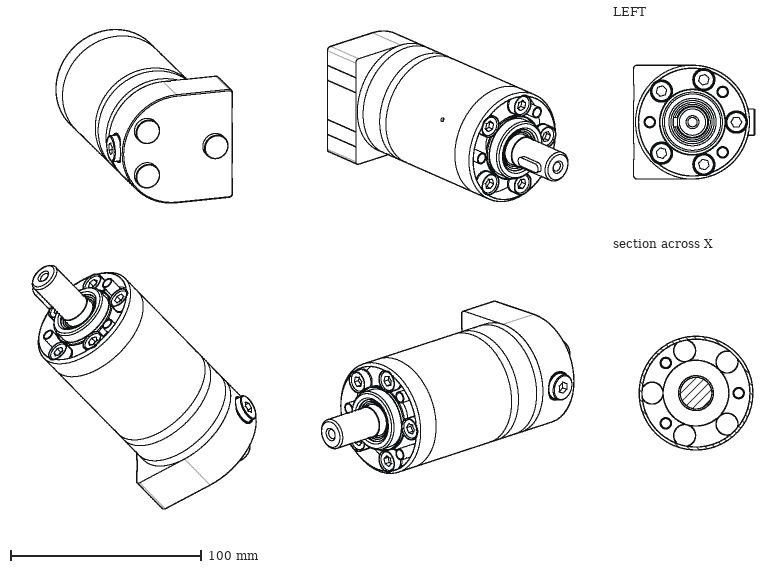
import cadquery as cq
import math


SHAFT_STEP_X = 27.8
PILOT_X = 30.3
FLANGE_X = 35.4
HOUSING_X = 48.3
FRONT_PLATE_X = 104.0
GEAR_RING_X = 109.0
REAR_PLATE_X = 122.4
END_COVER_X = 127.0
END_COVER_REAR_X = 150.5
OVERALL_LENGTH = 153.8

BODY_D = 60

SHAFT_D = 16.0
SHAFT_SEAT_D = 16.9
SHAFT_CHAMFER = 1.0
CENTRE_HOLE_D = 4.9
CENTRE_HOLE_MOUTH_D = 6.8
CENTRE_HOLE_DEPTH = 9.2
DRILL_POINT_DEPTH = CENTRE_HOLE_D / 2
KEY_START_X = 4.3
KEY_LENGTH = 16.1
KEY_WIDTH = 4.9
KEY_TOP_Y = 10.0

FLANGE_CHAMFER = 1.5
RECESS_D = 56.6
FLANGE_FLOOR = 0.8
NECK_D = 18.5
COLLAR_D = 34.7
COLLAR_WALL = 0.3
COLLAR_LENGTH = 2.3
COLLAR_FLOOR = 0.6
PILOT_D = 31.5
PILOT_CHAMFER = 0.9
SEAL_MOUTH_D = 24.9
SEAL_BORE_D = 22.8
SEAL_STEP_D = 20.6
SEAL_LIP_D = 18.8
SEAL_MOUTH_DEPTH = 0.9
SEAL_BORE_DEPTH = 1.5
SEAL_STEP_DEPTH = 2.0
SEAL_LIP_DEPTH = 2.5

SCREW_CIRCLE_R = 23
SCREW_ANGLES = (0, 75, 135, -135, -75)
COUNTERBORE_D = 11.0
CUP_WALL = 0.3
CUP_LENGTH = 5.5
CUP_FLOOR = 0.6
SCREW_HEAD_D = 10.0
SCREW_HEAD_RECESS = 0.8
SOCKET_ACROSS_FLATS = 4.9
SOCKET_DEPTH = 3

TUBE_CIRCLE_R = 22.5
TUBE_ANGLES = (45, 180, -45)
TUBE_D = 6.0
TUBE_BORE_D = 4.9

VENT_X = 62.7
VENT_D = 2.0
VENT_DEPTH = 1.5
VENT_TILT = 61

BLOCK_Y = 31.0
BLOCK_EDGE_R = 2.0
COVER_CHAMFER = 0.6
GROOVE_WIDTH = 8.5
GROOVE_Z = 15.4
GROOVE_DEPTH = 0.3
PLUG_X = 139.0
PLUG_D = 13.8
PLUG_OUTER_Y = 32.9
PLUG_CHAMFER = 0.5
SPOT_FACE_D = 15.5
SPOT_FACE_Y = 28.9
WASHER_D = 14.9
WASHER_OUTER_Y = 29.2
PLUG_SOCKET_FLATS = 5.4
REAR_HEAD_D = 13.0
REAR_HEAD_CIRCLE_R = 20.9
REAR_HEAD_ANGLES = (0, 144, -144)
REAR_HEAD_CHAMFER = 0.3

AXIS_DIRECTION = cq.Vector(1, 0, 0)


def cylinder(start_x, end_x, diameter):
    """Cylinder on the motor axis."""
    return cq.Workplane("YZ", origin=(start_x, 0, 0)).circle(diameter / 2).extrude(end_x - start_x)


def cone(start_x, end_x, start_d, end_d):
    """Cone frustum, or full cone when end_d is 0, on the motor axis."""
    return cq.Workplane(
        cq.Solid.makeCone(start_d / 2, end_d / 2, end_x - start_x, cq.Vector(start_x, 0, 0), AXIS_DIRECTION)
    )


def hex_prism(start_x, end_x, across_flats):
    """Hexagonal prism on the motor axis with two corners along Y."""
    across_corners = across_flats / math.cos(math.pi / 6)
    return cq.Workplane("YZ", origin=(start_x, 0, 0)).polygon(6, across_corners).extrude(end_x - start_x)


def placed(shape, radius, angle):
    """Shape moved off the axis to a bolt circle, with the angle measured from -Y."""
    return shape.translate((0, -radius, 0)).rotate((0, 0, 0), (1, 0, 0), angle)


def make_shaft():
    shaft = cylinder(0, HOUSING_X, SHAFT_D).faces("<X").chamfer(SHAFT_CHAMFER)
    shaft = shaft.union(cylinder(SHAFT_STEP_X, HOUSING_X, SHAFT_SEAT_D))
    key = (
        cq.Workplane("XZ", origin=(KEY_START_X + KEY_LENGTH / 2, 0, 0))
        .slot2D(KEY_LENGTH, KEY_WIDTH)
        .extrude(-KEY_TOP_Y)
    )
    shaft = shaft.union(key)
    mouth_depth = (CENTRE_HOLE_MOUTH_D - CENTRE_HOLE_D) / 2
    drill_tip_x = CENTRE_HOLE_DEPTH + DRILL_POINT_DEPTH
    shaft = shaft.cut(cone(0, mouth_depth, CENTRE_HOLE_MOUTH_D, CENTRE_HOLE_D))
    shaft = shaft.cut(cylinder(0, CENTRE_HOLE_DEPTH, CENTRE_HOLE_D))
    return shaft.cut(cone(CENTRE_HOLE_DEPTH, drill_tip_x, CENTRE_HOLE_D, 0))


def make_seal_cavity():
    """Stepped opening around the shaft at the front of the pilot."""
    mouth_end_x = PILOT_X + SEAL_MOUTH_DEPTH
    cavity = cone(PILOT_X, mouth_end_x, SEAL_MOUTH_D, SEAL_BORE_D)
    steps = (
        (SEAL_BORE_D, SEAL_BORE_DEPTH),
        (SEAL_STEP_D, SEAL_STEP_DEPTH),
        (SEAL_LIP_D, SEAL_LIP_DEPTH),
    )
    for diameter, depth in steps:
        cavity = cavity.union(cylinder(PILOT_X, PILOT_X + depth, diameter))
    return cavity


def make_flange_screw():
    """Socket head on the axis, seated on the floor of its cup."""
    head_x = FLANGE_X + SCREW_HEAD_RECESS
    head = cylinder(head_x, FLANGE_X + CUP_LENGTH, SCREW_HEAD_D)
    return head.cut(hex_prism(head_x, head_x + SOCKET_DEPTH, SOCKET_ACROSS_FLATS))


def make_pilot():
    """Pilot on a neck from the flange floor, with a thin collar around its base."""
    collar_end_x = FLANGE_X + COLLAR_LENGTH
    collar = cylinder(FLANGE_X, collar_end_x, COLLAR_D)
    collar = collar.cut(cylinder(FLANGE_X, collar_end_x - COLLAR_FLOOR, COLLAR_D - 2 * COLLAR_WALL))
    pilot = cylinder(PILOT_X, collar_end_x, PILOT_D).faces("<X").chamfer(PILOT_CHAMFER)
    return pilot.union(collar).union(cylinder(collar_end_x, HOUSING_X, NECK_D))


def make_flange():
    floor_x = HOUSING_X - FLANGE_FLOOR
    flange = cylinder(FLANGE_X, HOUSING_X, BODY_D).faces("<X").chamfer(FLANGE_CHAMFER)
    flange = flange.cut(cylinder(FLANGE_X, floor_x, RECESS_D))
    flange = flange.union(make_pilot())

    cup = cylinder(FLANGE_X, FLANGE_X + CUP_LENGTH, COUNTERBORE_D + 2 * CUP_WALL)
    counterbore = cylinder(FLANGE_X, FLANGE_X + CUP_LENGTH - CUP_FLOOR, COUNTERBORE_D)
    screw = make_flange_screw()
    for angle in SCREW_ANGLES:
        flange = flange.union(placed(cup, SCREW_CIRCLE_R, angle))
        flange = flange.cut(placed(counterbore, SCREW_CIRCLE_R, angle))
        flange = flange.union(placed(screw, SCREW_CIRCLE_R, angle))

    tube = cylinder(FLANGE_X, HOUSING_X, TUBE_D)
    tube_bore = cylinder(FLANGE_X, floor_x, TUBE_BORE_D)
    for angle in TUBE_ANGLES:
        flange = flange.union(placed(tube, TUBE_CIRCLE_R, angle))
        flange = flange.cut(placed(tube_bore, TUBE_CIRCLE_R, angle))

    flange = flange.cut(make_seal_cavity())
    return flange.cut(cylinder(PILOT_X, HOUSING_X, SHAFT_SEAT_D))


def make_housing():
    housing = cylinder(HOUSING_X, FRONT_PLATE_X, BODY_D)
    vent = (
        cq.Workplane("XY", origin=(VENT_X, 0, BODY_D / 2 - VENT_DEPTH))
        .circle(VENT_D / 2)
        .extrude(2 * VENT_DEPTH)
        .rotate((0, 0, 0), (1, 0, 0), -VENT_TILT)
    )
    return housing.cut(vent)


def make_side_plug():
    """Socket plug and its washer standing on the spot face at the -Y side."""
    height = PLUG_OUTER_Y - SPOT_FACE_Y
    plug = cq.Workplane("XZ", origin=(PLUG_X, -SPOT_FACE_Y, 0)).circle(PLUG_D / 2).extrude(height)
    plug = plug.faces("<Y").chamfer(PLUG_CHAMFER)
    washer = (
        cq.Workplane("XZ", origin=(PLUG_X, -SPOT_FACE_Y, 0))
        .circle(WASHER_D / 2)
        .extrude(WASHER_OUTER_Y - SPOT_FACE_Y)
    )
    plug = plug.union(washer)
    socket = (
        cq.Workplane("XZ", origin=(PLUG_X, -PLUG_OUTER_Y, 0))
        .transformed(rotate=(0, 0, 90))
        .polygon(6, PLUG_SOCKET_FLATS / math.cos(math.pi / 6))
        .extrude(-SOCKET_DEPTH)
    )
    return plug.cut(socket)


def make_end_cover():
    length = END_COVER_REAR_X - END_COVER_X
    block = (
        cq.Workplane("YZ", origin=(END_COVER_X, BLOCK_Y / 2, 0))
        .rect(BLOCK_Y, BODY_D)
        .extrude(length)
        .edges("|X and >Y")
        .fillet(BLOCK_EDGE_R)
    )
    cover = cylinder(END_COVER_X, END_COVER_REAR_X, BODY_D).union(block)
    cover = cover.faces(">X").chamfer(COVER_CHAMFER)

    for groove_z in (GROOVE_Z, -GROOVE_Z):
        groove = (
            cq.Workplane("YZ", origin=(END_COVER_X, BLOCK_Y, groove_z))
            .rect(2 * GROOVE_DEPTH, GROOVE_WIDTH)
            .extrude(length)
        )
        cover = cover.cut(groove)

    spot_face = (
        cq.Workplane("XZ", origin=(PLUG_X, -SPOT_FACE_Y, 0))
        .circle(SPOT_FACE_D / 2)
        .extrude(BODY_D / 2 - SPOT_FACE_Y)
    )
    cover = cover.cut(spot_face).union(make_side_plug())

    rear_head = cylinder(END_COVER_REAR_X, OVERALL_LENGTH, REAR_HEAD_D)
    rear_head = rear_head.faces(">X").chamfer(REAR_HEAD_CHAMFER)
    for angle in REAR_HEAD_ANGLES:
        cover = cover.union(placed(rear_head, REAR_HEAD_CIRCLE_R, angle + 180))
    return cover


shaft = make_shaft()
flange = make_flange()
housing = make_housing()
front_plate = cylinder(FRONT_PLATE_X, GEAR_RING_X, BODY_D)
gear_ring = cylinder(GEAR_RING_X, REAR_PLATE_X, BODY_D)
rear_plate = cylinder(REAR_PLATE_X, END_COVER_X, BODY_D)
end_cover = make_end_cover()

result = cq.Compound.makeCompound([
    shaft.val(),
    flange.val(),
    housing.val(),
    front_plate.val(),
    gear_ring.val(),
    rear_plate.val(),
    end_cover.val(),
])